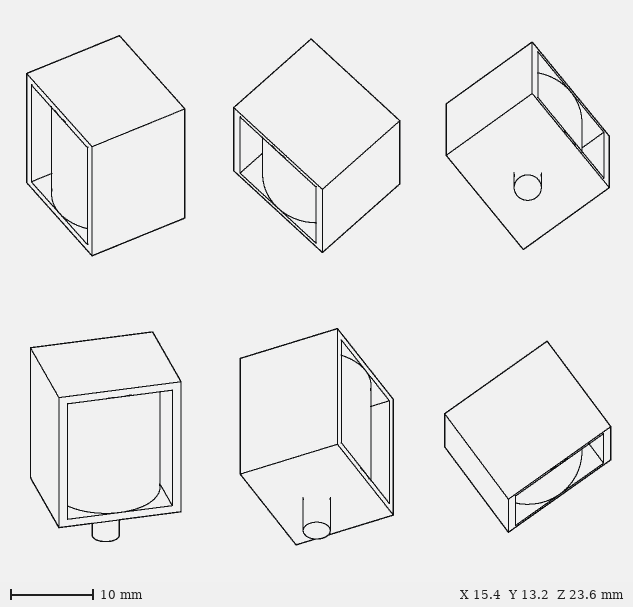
import cadquery as cq

frame_width = 15.4
frame_depth = 13.2
total_height = 23.6
stem_length = 5.6
stem_diameter = 3.3
stem_fillet = 0.5
roller_diameter = frame_depth
plate_thickness = 1.01

frame_height = total_height - stem_length
opening_width = roller_diameter
opening_height = frame_height - 2 * plate_thickness
roller_bottom = stem_length + plate_thickness


def make_frame():
    """Rectangular frame, open front to back, with a stem under its centre."""
    outer = cq.Workplane("XY").workplane(offset=stem_length).box(
        frame_width, frame_depth, frame_height, centered=(True, True, False)
    )
    opening = cq.Workplane("XY").workplane(offset=roller_bottom).box(
        opening_width, frame_depth, opening_height, centered=(True, True, False)
    )
    stem = cq.Workplane("XY").circle(stem_diameter / 2).extrude(stem_length)
    stem_root = cq.selectors.BoxSelector(
        (-stem_diameter, -stem_diameter, stem_length - stem_fillet),
        (stem_diameter, stem_diameter, stem_length + stem_fillet),
    )
    return outer.union(stem).edges(stem_root).edges("%CIRCLE").fillet(stem_fillet).cut(opening)


def make_roller():
    """Upright cylinder filling the height of the frame opening."""
    return (
        cq.Workplane("XY")
        .workplane(offset=roller_bottom)
        .circle(roller_diameter / 2)
        .extrude(opening_height)
    )


frame = make_frame()
roller = make_roller()
result = cq.Compound.makeCompound([frame.val(), roller.val()])